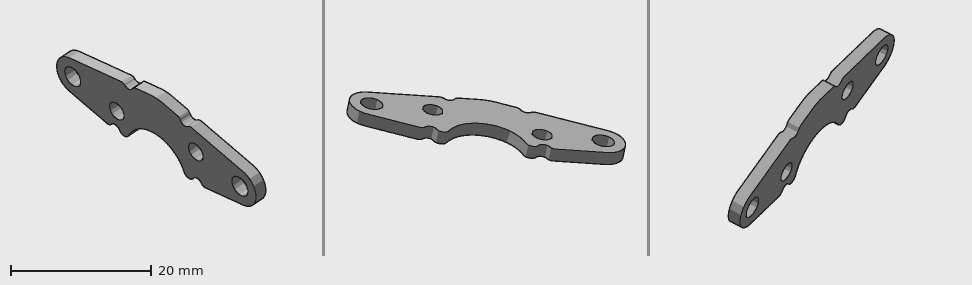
import cadquery as cq
import math

length = 40.0
thickness = 2.0
end_radius = 3.25
crown_radius = 6.3
end_hole_diameter = 3.2
inner_hole_diameter = 2.9
inner_hole_x = 7.9
inner_hole_z = 1.05

bore_radius = 6.05
bore_top_z = -0.55
lobe_radius = 1.05
lobe_bottom_z = -4.85
notch_radius = 0.9
blend_radius = 0.9
upper_notch = (5.65, 5.5)
lower_notch_z = -4.7

end_x = length / 2 - end_radius
slope_sin = (crown_radius - end_radius) / end_x
slope_cos = math.sqrt(1 - slope_sin**2)
upper_normal = (slope_sin, slope_cos)
lower_normal = (slope_sin, -slope_cos)

bore_center = (0.0, bore_top_z - bore_radius)
lobe_z = lobe_bottom_z + lobe_radius
lobe_x = math.sqrt((bore_radius + lobe_radius) ** 2 - (lobe_z - bore_center[1]) ** 2)
lobe_center = (lobe_x, lobe_z)
notch_offset = math.sqrt((lobe_radius + notch_radius) ** 2 - (lower_notch_z - lobe_z) ** 2)
lower_notch = (lobe_x + notch_offset, lower_notch_z)


def point_toward(center, target, radius):
    """Point on a circle in the direction of another point."""
    distance = math.dist(center, target)
    return tuple(c + (t - c) * radius / distance for c, t in zip(center, target))


def point_along(center, direction, distance):
    """Point at a distance from a center along a unit direction."""
    return tuple(c + d * distance for c, d in zip(center, direction))


def blend_center(notch, normal, side):
    """Center of the round joining a notch to a straight edge; side is +1 outward, -1 inward."""
    along = (abs(normal[1]), -normal[0] * math.copysign(1, normal[1]))
    notch_height = notch[0] * normal[0] + notch[1] * normal[1]
    drop = crown_radius - blend_radius - notch_height
    run = math.sqrt((notch_radius + blend_radius) ** 2 - drop**2)
    return point_along(point_along(notch, normal, drop), along, side * run)


def add_arc(outline, center, radius, end):
    """Append the minor arc about a center from the current point to end."""
    start = outline.val().endPoint()
    local_start = outline.plane.toLocalCoords(start).toTuple()
    chord_middle = tuple((s + e) / 2 for s, e in zip(local_start, end))
    return outline.threePointArc(point_toward(center, chord_middle, radius), end)


def half_plate():
    """The +X half of the plate, traced clockwise from the crown."""
    origin = (0.0, 0.0)
    end_center = (end_x, 0.0)
    inner_blend = blend_center(upper_notch, upper_normal, -1)
    outer_blend = blend_center(upper_notch, upper_normal, 1)
    lower_blend = blend_center(lower_notch, lower_normal, 1)
    crown_half_angle = math.asin(slope_sin) / 2
    crown_middle = (crown_radius * math.sin(crown_half_angle), crown_radius * math.cos(crown_half_angle))

    outline = (
        cq.Workplane("XZ", origin=(0, thickness / 2, 0))
        .moveTo(0, crown_radius)
        .threePointArc(crown_middle, point_along(origin, upper_normal, crown_radius))
        .lineTo(*point_along(inner_blend, upper_normal, blend_radius))
    )
    outline = add_arc(outline, inner_blend, blend_radius, point_toward(inner_blend, upper_notch, blend_radius))
    outline = add_arc(outline, upper_notch, notch_radius, point_toward(upper_notch, outer_blend, notch_radius))
    outline = add_arc(outline, outer_blend, blend_radius, point_along(outer_blend, upper_normal, blend_radius))
    outline = (
        outline.lineTo(*point_along(end_center, upper_normal, end_radius))
        .threePointArc((length / 2, 0), point_along(end_center, lower_normal, end_radius))
        .lineTo(*point_along(lower_blend, lower_normal, blend_radius))
    )
    outline = add_arc(outline, lower_blend, blend_radius, point_toward(lower_blend, lower_notch, blend_radius))
    outline = add_arc(outline, lower_notch, notch_radius, point_toward(lower_notch, lobe_center, notch_radius))
    outline = outline.threePointArc(
        (lobe_x, lobe_bottom_z), point_toward(lobe_center, bore_center, lobe_radius)
    )
    outline = add_arc(outline, bore_center, bore_radius, (0, bore_top_z))
    return outline.close().extrude(thickness)


def hole_pins(centers, diameter):
    """Cylinders that cut holes through the thickness."""
    return (
        cq.Workplane("XZ", origin=(0, thickness / 2, 0))
        .pushPoints(centers)
        .circle(diameter / 2)
        .extrude(thickness)
    )


half = half_plate()
plate = half.union(half.mirror("YZ")).clean()
end_holes = hole_pins([(-end_x, 0), (end_x, 0)], end_hole_diameter)
inner_holes = hole_pins([(-inner_hole_x, -inner_hole_z), (inner_hole_x, inner_hole_z)], inner_hole_diameter)
result = plate.cut(end_holes).cut(inner_holes)